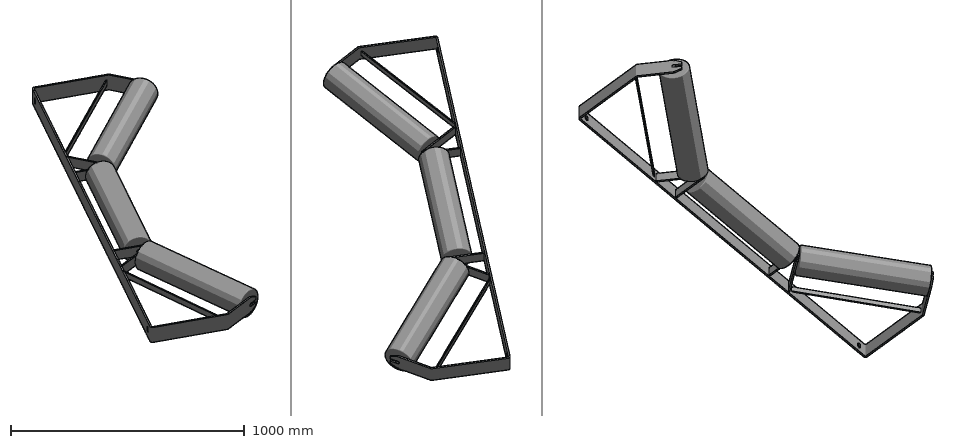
import cadquery as cq
import math


overall_width = 1800.0
strip_width = 80.0
strip_thickness = 8.0
bend_radius = 11.7
trough_angle = math.radians(35)
upright_height = 344.0
arm_axis_distance = 160.0
tip_reach = 35.0
tip_corner_length = 35.0
tip_corner_width = 18.0
hole_width = 16.0
hole_height = 27.0
hole_inset = 47.0

roller_diameter = 133.0
roller_length = 570.0
roller_rounding = 4.5
shaft_diameter = 16.0
outer_gap = 5.0
inner_gap = 4.0
forward_offset = 7.0
center_axis_height = 125.0

bracket_width = 50.0
bracket_thickness = 7.0
bracket_lap = 0.9
brace_thickness = 6.0
brace_width = 29.0
brace_drop = 10.0

cos_trough = math.cos(trough_angle)
sin_trough = math.sin(trough_angle)
axis_direction = (cos_trough, -sin_trough)
arm_direction = (sin_trough, cos_trough)


def shifted(point, direction, distance):
    return (point[0] + direction[0] * distance, point[1] + direction[1] * distance)


half_width = overall_width / 2
outer_offset = outer_gap + strip_thickness
inner_offset = inner_gap + bracket_thickness
side_shaft_length = outer_offset + roller_length + inner_offset
center_shaft_length = roller_length + 2 * inner_offset
post_outer_x = -center_shaft_length / 2
arm_bend = (-half_width, upright_height)
shaft_outer_end = shifted(arm_bend, arm_direction, arm_axis_distance)
shaft_inner_end = shifted(shaft_outer_end, axis_direction, side_shaft_length)

side_shaft = cq.Plane(
    origin=(*shaft_outer_end, 0),
    xDir=(*arm_direction, 0),
    normal=(*axis_direction, -forward_offset / roller_length),
)
center_shaft = cq.Plane(
    origin=(post_outer_x, center_axis_height, -forward_offset),
    xDir=(0, 1, 0),
    normal=(1, 0, 0),
)


def mirrored(body):
    """The right-hand counterpart of a left-hand body."""
    return body.mirror("YZ")


def make_strip(outline, width):
    """Extrude an XY outline to the given width, centred on Z = 0."""
    return cq.Workplane("XY").polyline(outline).close().extrude(width / 2, both=True)


def slot_cutter(shaft_plane, start, thickness):
    """U-shaped slot around a shaft, open upward, through the plate that begins at `start`."""
    margin = 2.0
    depth = thickness + 2 * margin
    slot_top = 2 * tip_reach
    plane = cq.Workplane(shaft_plane).workplane(offset=start - margin)
    bottom = plane.circle(shaft_diameter / 2).extrude(depth)
    walls = plane.center(slot_top / 2, 0).rect(slot_top, shaft_diameter).extrude(depth)
    return bottom.union(walls)


def make_roller(shaft_plane, left_offset, shaft_length):
    """Roller with rounded ends on a plain shaft, starting `left_offset` along the shaft."""
    shell = (
        cq.Workplane(shaft_plane)
        .workplane(offset=left_offset)
        .circle(roller_diameter / 2)
        .extrude(roller_length)
        .edges("%CIRCLE")
        .fillet(roller_rounding)
    )
    shaft = cq.Workplane(shaft_plane).circle(shaft_diameter / 2).extrude(shaft_length)
    return shell.union(shaft)


def bent_half_strip():
    """Left half of the base with its upright and arm, bends rounded."""
    inner_x = -half_width + strip_thickness
    inner_bend = (inner_x, upright_height - strip_thickness * math.tan(trough_angle / 2))
    tip_outer = shifted(shaft_outer_end, arm_direction, tip_reach)
    tip_inner = shifted(tip_outer, axis_direction, strip_thickness)
    body = make_strip(
        [
            (0, 0),
            (-half_width, 0),
            arm_bend,
            tip_outer,
            tip_inner,
            inner_bend,
            (inner_x, strip_thickness),
            (0, strip_thickness),
        ],
        strip_width,
    )
    inner_radius = bend_radius - strip_thickness
    for corner, radius in (
        ((-half_width, 0), bend_radius),
        (arm_bend, bend_radius),
        ((inner_x, strip_thickness), inner_radius),
        (inner_bend, inner_radius),
    ):
        body = body.edges(cq.NearestToPointSelector((*corner, 0))).fillet(radius)
    return body


def tip_corner_cutter(side):
    """Triangle off one corner of the arm tip; `side` is +1 or -1 for the Z edge."""
    arm_plane = cq.Plane(
        origin=(*shaft_outer_end, 0), xDir=(*arm_direction, 0), normal=(*axis_direction, 0)
    )
    edge = side * strip_width / 2
    return (
        cq.Workplane(arm_plane)
        .moveTo(tip_reach - tip_corner_length, edge)
        .lineTo(tip_reach, edge)
        .lineTo(tip_reach, edge - side * tip_corner_width)
        .close()
        .extrude(strip_thickness)
    )


def make_frame():
    """Base, uprights and outer arms bent from one strip."""
    left_half = bent_half_strip()
    for side in (1, -1):
        left_half = left_half.cut(tip_corner_cutter(side))
    left_half = left_half.cut(slot_cutter(side_shaft, 0, strip_thickness))
    mounting_hole = (
        cq.Workplane("XZ", origin=(-half_width + hole_inset, 0, 0))
        .slot2D(hole_height, hole_width, 90)
        .extrude(-strip_thickness)
    )
    left_half = left_half.cut(mounting_hole)
    return left_half.union(mirrored(left_half))


def make_inner_bracket():
    """Left inverted V: a sloping leg for the side roller and a post for the centre roller."""
    rise_to_post = (post_outer_x - shaft_inner_end[0]) / sin_trough
    leg_top = shifted(shaft_inner_end, arm_direction, rise_to_post + bracket_lap)
    leg_foot = shifted(leg_top, arm_direction, (strip_thickness - leg_top[1]) / cos_trough)
    leg = make_strip(
        [
            leg_foot,
            leg_top,
            shifted(leg_top, axis_direction, -bracket_thickness),
            (leg_foot[0] - bracket_thickness / cos_trough, strip_thickness),
        ],
        bracket_width,
    )
    post_inner_x = post_outer_x + bracket_thickness
    post = make_strip(
        [
            (post_outer_x, strip_thickness),
            (post_inner_x, strip_thickness),
            (post_inner_x, leg_top[1]),
            (post_outer_x, leg_top[1]),
        ],
        bracket_width,
    )
    leg_start = side_shaft_length - bracket_thickness
    bracket = leg.union(post).translate((0, 0, -forward_offset))
    bracket = bracket.cut(slot_cutter(center_shaft, 0, bracket_thickness))
    return bracket.cut(slot_cutter(side_shaft, leg_start, bracket_thickness))


def make_brace():
    """Left flat bar from the upright down to the base, parallel to the side roller."""
    upright_x = -half_width + strip_thickness
    top = upright_height - brace_drop
    foot_x = upright_x + (top - strip_thickness) / math.tan(trough_angle)
    return make_strip(
        [
            (upright_x, top),
            (foot_x, strip_thickness),
            (foot_x - brace_thickness / sin_trough, strip_thickness),
            (upright_x, top - brace_thickness / cos_trough),
        ],
        brace_width,
    )


frame = make_frame()
center_roller = make_roller(center_shaft, inner_offset, center_shaft_length)
bodies = [frame.solids().val(), center_roller.solids().val()]

left_bodies = [
    make_roller(side_shaft, outer_offset, side_shaft_length),
    make_inner_bracket(),
    make_brace(),
]
for body in left_bodies:
    bodies.append(body.solids().val())
    bodies.append(mirrored(body).solids().val())

result = cq.Compound.makeCompound(bodies)